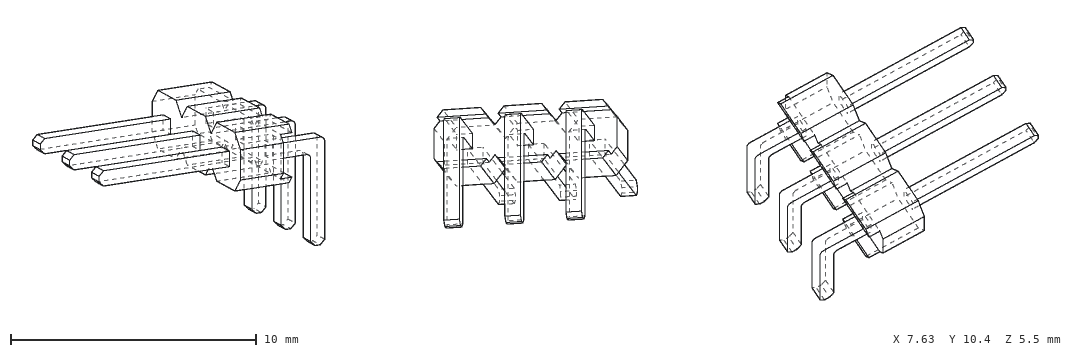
import cadquery as cq


pin_count = 3
row_length = 7.63
pitch = row_length / pin_count
housing_height = 2.5
housing_depth = 2.5
top_flat_width = 1.57
side_flat_height = 1.29
channel_height = 1.89
channel_depth = 0.52

overall_length = 10.4
overall_height = 5.5
pin_size = 0.65
pin_reach = 6.01
tip_chamfer = 0.21
outer_bend_radius = 0.21
inner_bend_radius = 0.19

pin_front = -pin_reach
pin_back = overall_length - pin_reach
pin_bottom = housing_height / 2 - overall_height
cell_centers = [(i - (pin_count - 1) / 2) * pitch for i in range(pin_count)]


def housing_cell(x_center):
    """One octagonal prism of the housing, with its front face on Y = 0."""
    half_width = pitch / 2
    half_height = housing_height / 2
    half_top = top_flat_width / 2
    half_side = side_flat_height / 2
    outline = [
        (-half_top, half_height),
        (half_top, half_height),
        (half_width, half_side),
        (half_width, -half_side),
        (half_top, -half_height),
        (-half_top, -half_height),
        (-half_width, -half_side),
        (-half_width, half_side),
    ]
    cell = cq.Workplane("XZ").polyline(outline).close().extrude(-housing_depth)
    return cell.translate((x_center, 0, 0))


def back_channel():
    """Cutter for the channel that runs the full row along the back face."""
    channel = cq.Workplane("XY").box(row_length, channel_depth, channel_height)
    return channel.translate((0, housing_depth - channel_depth / 2, 0))


def bent_pin(x_center):
    """Square pin bent down behind the housing, with two chamfers on each end."""
    half = pin_size / 2
    tail_front = pin_back - pin_size
    outline = [
        (pin_front, half - tip_chamfer),
        (pin_front + tip_chamfer, half),
        (pin_back, half),
        (pin_back, pin_bottom + tip_chamfer),
        (pin_back - tip_chamfer, pin_bottom),
        (tail_front + tip_chamfer, pin_bottom),
        (tail_front, pin_bottom + tip_chamfer),
        (tail_front, -half),
        (pin_front + tip_chamfer, -half),
        (pin_front, -half + tip_chamfer),
    ]
    pin = cq.Workplane("YZ").polyline(outline).close().extrude(half, both=True)
    pin = pin.edges(cq.selectors.NearestToPointSelector((0, pin_back, half))).fillet(outer_bend_radius)
    pin = pin.edges(cq.selectors.NearestToPointSelector((0, tail_front, -half))).fillet(inner_bend_radius)
    return pin.translate((x_center, 0, 0))


housing = housing_cell(cell_centers[0])
for x in cell_centers[1:]:
    housing = housing.union(housing_cell(x))
housing = housing.cut(back_channel())

result = housing
for x in cell_centers:
    result = result.union(bent_pin(x))